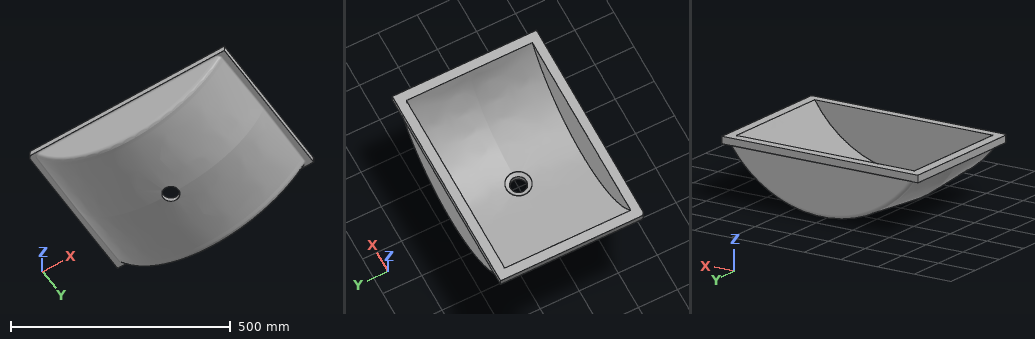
import cadquery as cq
import math

rim_length = 535.0
rim_width = 370.0
rim_thickness = 18.0
rim_corner_radius = 10.0

total_depth = 157.0
middle_drop = 6.5
wall = 17.5
rim_overhang = 6.0
outer_half_width = rim_width / 2 - rim_overhang
inner_half_width = outer_half_width - wall
opening_half_length = 243.0
middle_spread = 27.0
bowl_edge_radius = 9.0
rim_blend_radius = 4.5

drain_radius = 20.5
drain_seat_radius = 31.0
drain_seat_depth = 3.0


def arch_radius(depth, spread):
    """Inner arch radius that reaches the opening edge at z = 0."""
    half_chord = opening_half_length - spread
    inner_depth = depth - wall
    return (half_chord**2 + inner_depth**2) / (2 * inner_depth)


end_depth = total_depth - middle_drop
end_radius = arch_radius(end_depth, 0)
middle_radius = arch_radius(total_depth, middle_spread)


def arch_points(radius, depth, spread, offset, top):
    """Right-hand top, halfway point and bottom of an arch, as (x, z)."""
    center_z = radius + wall - depth
    r = radius + offset
    high_angle = math.acos((center_z - top) / r)
    upper = [(spread + r * math.sin(a), center_z - r * math.cos(a))
             for a in (high_angle, high_angle / 2)]
    return upper + [(0, center_z - r)]


def arch_wire(y, radius, depth, spread, offset, top):
    """Closed section of the trough at one y, level across the top."""
    right = arch_points(radius, depth, spread, offset, top)
    high, mid, bottom = [cq.Vector(x, y, z) for x, z in right]
    left_high, left_mid = [cq.Vector(-x, y, z) for x, z in right[:2]]
    if spread:
        arch = cq.Edge.makeSpline([high, mid, bottom, left_mid, left_high])
    else:
        arch = cq.Edge.makeThreePointArc(high, bottom, left_high)
    return cq.Wire.assembleEdges([arch, cq.Edge.makeLine(left_high, high)])


def trough(offset, top):
    """Ruled trough between the inner end walls, creased across the middle."""
    middle = arch_wire(0, middle_radius, total_depth, middle_spread, offset, top)
    front = arch_wire(-inner_half_width, end_radius, end_depth, 0, offset, top)
    front_half = cq.Workplane(cq.Solid.makeLoft([front, middle], True))
    return front_half.union(front_half.mirror("XZ"))


def end_wall():
    """Front end wall with a rounded lower outside edge."""
    section = arch_points(end_radius, end_depth, 0, wall, -rim_thickness)
    half_length, top = section[0]
    slab = (
        cq.Workplane("XZ", origin=(0, -inner_half_width, 0))
        .moveTo(-half_length, top)
        .threePointArc((0, -end_depth), (half_length, top))
        .close()
        .extrude(wall)
    )
    return slab.faces("<Y").edges("%CIRCLE").fillet(bowl_edge_radius)


def rim():
    """Flange plate, with only its front left corner rounded."""
    plate = cq.Workplane("XY").box(rim_length, rim_width, rim_thickness, (True, True, False))
    plate = plate.translate((0, 0, -rim_thickness))
    return plate.edges("|Z and <X and <Y").fillet(rim_corner_radius)


def drain_cutter():
    """Through hole below a conical seat that opens into the bowl."""
    floor = wall - total_depth
    return (
        cq.Workplane("XZ")
        .moveTo(0, 0)
        .lineTo(drain_seat_radius, 0)
        .lineTo(drain_seat_radius, floor)
        .lineTo(drain_radius, floor - drain_seat_depth)
        .lineTo(drain_radius, -total_depth - wall)
        .lineTo(0, -total_depth - wall)
        .close()
        .revolve(360, (0, 0, 0), (0, 1, 0))
    )


front_wall = end_wall()
body = trough(wall, -rim_thickness).union(front_wall).union(front_wall.mirror("XZ"))
body = body.union(rim())

joint_reach_x = rim_length / 2 - rim_overhang
joint_reach_y = (rim_width - rim_overhang) / 2
joint_margin = 0.05
joint = cq.selectors.BoxSelector(
    (-joint_reach_x, -joint_reach_y, -rim_thickness - joint_margin),
    (joint_reach_x, joint_reach_y, -rim_thickness + joint_margin),
)
body = body.edges(joint).fillet(rim_blend_radius)

result = body.cut(trough(0, 0)).cut(drain_cutter())